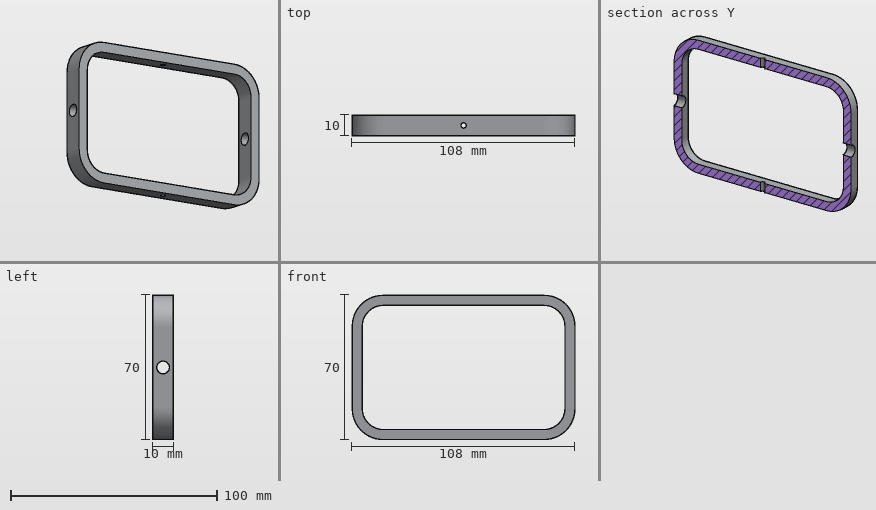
import cadquery as cq

length = 108.0
depth = 10.0
height = 70.0
wall = 5.0
outer_radius = 15.0
inner_radius = outer_radius - wall

side_hole_diameter = 6.0
top_hole_diameter = 2.5


def rounded_block(size_x, size_z, radius):
    """Centred block with its four Y-direction edges rounded."""
    return cq.Workplane("XY").box(size_x, depth, size_z).edges("|Y").fillet(radius)


def through_hole(plane, diameter, span):
    """Centred cylinder that passes through both opposite walls."""
    return cq.Workplane(plane).circle(diameter / 2).extrude(span / 2, both=True)


outer = rounded_block(length, height, outer_radius)
opening = rounded_block(length - 2 * wall, height - 2 * wall, inner_radius)
frame = outer.cut(opening)

side_holes = through_hole("YZ", side_hole_diameter, length)
top_holes = through_hole("XY", top_hole_diameter, height)

result = frame.cut(side_holes).cut(top_holes)